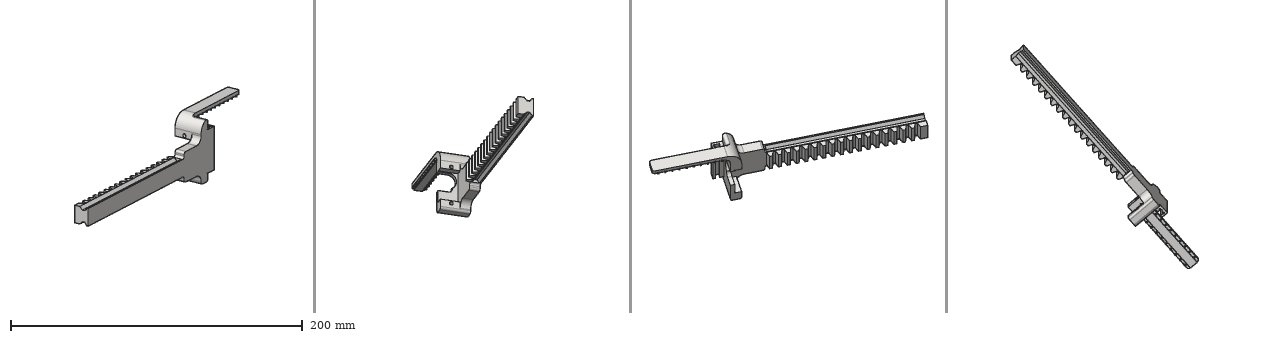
import cadquery as cq
import math

WIDTH = 22.0
LENGTH = 197.5
TOP_Z = 27.8
BOTTOM_Z = -19.2
CLEARANCE = 2.0
OVERLAP = 1.0

RACK_HALF_HEIGHT = 6.5
RACK_BODY_X = 14.2
TOOTH_TIP_X = 10.7
TOOTH_TIP_WIDTH = 2.0
TOOTH_COUNT = 17
FIRST_TOOTH_Y = 10.5
LAST_TOOTH_Y = 111.0
TOOTH_PITCH = (LAST_TOOTH_Y - FIRST_TOOTH_Y) / (TOOTH_COUNT - 1)
FLANK_ANGLE = 20.0
GROOVE_START_X = 14.8
GROOVE_END_X = 20.7
GROOVE_DEPTH = 2.2
GROOVE_FLOOR_START_X = 17.2
GROOVE_FLOOR_END_X = 19.0

NECK_HALF_HEIGHT = 11.3
NECK_END_Y = 112.5
NECK_SMALL_RADIUS = 1.8
NECK_ROOT_RADIUS = 5.3

PLATE_FRONT_Y = 134.5
PLATE_BACK_Y = 142.5
EDGE_RADIUS = 1.8
BEND_OUTER_RADIUS = 10.0
BEND_INNER_RADIUS = 5.0
FINGER_WIDTH = 10.0
FINGER_BOTTOM_Z = 24.9
PAD_BOTTOM_Z = 23.9
PAD_INSET = 2.0
GRIP_RIB_COUNT = 10
GRIP_RIB_WIDTH = 0.8
FIRST_GRIP_RIB_Y = 148.3
LAST_GRIP_RIB_Y = 193.5
GRIP_RIB_PITCH = (LAST_GRIP_RIB_Y - FIRST_GRIP_RIB_Y) / (GRIP_RIB_COUNT - 1)
SHOULDER_RIM_RADIUS = 2.0
SHOULDER_CUT_BOTTOM_Z = 19.7

POCKET_HALF_HEIGHT = 11.8
POCKET_FLOOR_Y = 139.5
WINDOW_TOP_Z = 11.3
WINDOW_BOTTOM_Z = -3.0
WINDOW_ARC_X = 7.5
WINDOW_UPPER_RADIUS = 5.7
WINDOW_LOWER_RADIUS = 2.8
PIN_HOLE_DIAMETER = 2.5
PIN_HOLE_X = 7.9
PIN_HOLE_Z = 13.8
PIN_HOLE_DEPTH = 4.0

RAIL_X = 17.2
RAIL_BACK_Y = 150.5
RAIL_TOP_Z = 19.0
RAIL_BOTTOM_Z = -13.2
SLOT_CENTER_Y = 147.1
SLOT_MOUTH_WIDTH = 3.0
SLOT_INNER_WIDTH = 4.1
SLOT_LIP_X = 18.8
SLOT_FLOOR_X = 20.1


def box(x0, x1, y0, y1, z0, z1):
    """Axis-aligned block between two opposite corners."""
    return cq.Workplane("XY").box(x1 - x0, y1 - y0, z1 - z0, centered=False).translate((x0, y0, z0))


def make_rack():
    """Toothed bar with a V-sided groove along its upper and lower faces."""
    rack = box(RACK_BODY_X, WIDTH, 0, NECK_END_Y + OVERLAP, -RACK_HALF_HEIGHT, RACK_HALF_HEIGHT)

    root_x = RACK_BODY_X + OVERLAP
    half_tip = TOOTH_TIP_WIDTH / 2
    half_root = half_tip + (root_x - TOOTH_TIP_X) * math.tan(math.radians(FLANK_ANGLE))

    def tooth(start_y, end_y, root_start_y, root_end_y):
        outline = [(TOOTH_TIP_X, start_y), (TOOTH_TIP_X, end_y), (root_x, root_end_y), (root_x, root_start_y)]
        return (
            cq.Workplane("XY").workplane(offset=-RACK_HALF_HEIGHT)
            .polyline(outline).close().extrude(2 * RACK_HALF_HEIGHT)
        )

    for index in range(TOOTH_COUNT):
        y = FIRST_TOOTH_Y + index * TOOTH_PITCH
        rack = rack.union(tooth(y - half_tip, y + half_tip, y - half_root, y + half_root))

    end_tooth_y = FIRST_TOOTH_Y - TOOTH_PITCH
    rack = rack.union(tooth(0, end_tooth_y + half_tip, 0, end_tooth_y + half_root))

    floor_z = RACK_HALF_HEIGHT - GROOVE_DEPTH
    groove = (
        cq.Workplane("XZ")
        .polyline([
            (GROOVE_START_X, RACK_HALF_HEIGHT),
            (GROOVE_FLOOR_START_X, floor_z),
            (GROOVE_FLOOR_END_X, floor_z),
            (GROOVE_END_X, RACK_HALF_HEIGHT),
        ])
        .close().extrude(-NECK_END_Y)
    )
    return rack.cut(groove).cut(groove.mirror("XY"))


def make_neck():
    """Taller block joining rack and plate, blended into both with rounds."""
    face_y = NECK_END_Y + NECK_SMALL_RADIUS
    upper_half = (
        cq.Workplane("YZ").workplane(offset=RACK_BODY_X)
        .moveTo(PLATE_BACK_Y, 0)
        .lineTo(PLATE_BACK_Y, NECK_HALF_HEIGHT + NECK_ROOT_RADIUS)
        .lineTo(PLATE_FRONT_Y, NECK_HALF_HEIGHT + NECK_ROOT_RADIUS)
        .radiusArc((PLATE_FRONT_Y - NECK_ROOT_RADIUS, NECK_HALF_HEIGHT), NECK_ROOT_RADIUS)
        .lineTo(face_y + NECK_SMALL_RADIUS, NECK_HALF_HEIGHT)
        .radiusArc((face_y, NECK_HALF_HEIGHT - NECK_SMALL_RADIUS), -NECK_SMALL_RADIUS)
        .lineTo(face_y, RACK_HALF_HEIGHT + NECK_SMALL_RADIUS)
        .radiusArc((NECK_END_Y, RACK_HALF_HEIGHT), NECK_SMALL_RADIUS)
        .lineTo(NECK_END_Y, 0)
        .close().extrude(WIDTH - RACK_BODY_X)
    )
    return upper_half.union(upper_half.mirror("XY"))


def make_bent_plate():
    """Cross plate that bends back into the finger, at full width."""
    return (
        cq.Workplane("YZ")
        .moveTo(PLATE_FRONT_Y + EDGE_RADIUS, BOTTOM_Z)
        .lineTo(PLATE_BACK_Y - EDGE_RADIUS, BOTTOM_Z)
        .radiusArc((PLATE_BACK_Y, BOTTOM_Z + EDGE_RADIUS), -EDGE_RADIUS)
        .lineTo(PLATE_BACK_Y, FINGER_BOTTOM_Z - BEND_INNER_RADIUS)
        .radiusArc((PLATE_BACK_Y + BEND_INNER_RADIUS, FINGER_BOTTOM_Z), BEND_INNER_RADIUS)
        .lineTo(LENGTH, FINGER_BOTTOM_Z)
        .lineTo(LENGTH, TOP_Z)
        .lineTo(PLATE_FRONT_Y + BEND_OUTER_RADIUS, TOP_Z)
        .radiusArc((PLATE_FRONT_Y, TOP_Z - BEND_OUTER_RADIUS), -BEND_OUTER_RADIUS)
        .lineTo(PLATE_FRONT_Y, BOTTOM_Z + EDGE_RADIUS)
        .radiusArc((PLATE_FRONT_Y + EDGE_RADIUS, BOTTOM_Z), -EDGE_RADIUS)
        .close().extrude(WIDTH)
    )


def make_shoulder_cutter():
    """Removes the bend beside the finger, leaving a plate edge with a rounded rim."""
    bend_y = PLATE_FRONT_Y + BEND_OUTER_RADIUS
    bend_z = TOP_Z - BEND_OUTER_RADIUS

    rim_y = PLATE_BACK_Y - SHOULDER_RIM_RADIUS
    center_distance = BEND_OUTER_RADIUS - SHOULDER_RIM_RADIUS
    lean = math.asin((bend_y - rim_y) / center_distance)
    rim_z = bend_z + center_distance * math.cos(lean)
    touch_y = bend_y - BEND_OUTER_RADIUS * math.sin(lean)
    touch_z = bend_z + BEND_OUTER_RADIUS * math.cos(lean)

    exit_y = PLATE_FRONT_Y - CLEARANCE
    exit_z = touch_z - (touch_y - exit_y) * math.tan(lean)
    ceiling_z = TOP_Z + 2 * CLEARANCE
    end_y = LENGTH + CLEARANCE
    return (
        cq.Workplane("YZ").workplane(offset=FINGER_WIDTH)
        .moveTo(PLATE_BACK_Y, SHOULDER_CUT_BOTTOM_Z)
        .lineTo(PLATE_BACK_Y, rim_z)
        .radiusArc((touch_y, touch_z), -SHOULDER_RIM_RADIUS)
        .lineTo(exit_y, exit_z)
        .lineTo(exit_y, ceiling_z)
        .lineTo(end_y, ceiling_z)
        .lineTo(end_y, SHOULDER_CUT_BOTTOM_Z)
        .close().extrude(WIDTH - FINGER_WIDTH + CLEARANCE)
        .edges(cq.selectors.BoxSelector(
            (FINGER_WIDTH - OVERLAP, exit_y + OVERLAP, SHOULDER_CUT_BOTTOM_Z + OVERLAP),
            (FINGER_WIDTH + OVERLAP, PLATE_BACK_Y + OVERLAP, TOP_Z),
        ))
        .fillet(EDGE_RADIUS)
    )


def make_grip():
    """Thin pad under the finger, inset from its sides, with cross ribs reaching those sides."""
    top_z = FINGER_BOTTOM_Z + OVERLAP
    grip = box(PAD_INSET, FINGER_WIDTH - PAD_INSET, PLATE_BACK_Y, LENGTH, PAD_BOTTOM_Z, top_z)
    for index in range(GRIP_RIB_COUNT):
        y = FIRST_GRIP_RIB_Y + index * GRIP_RIB_PITCH
        grip = grip.union(box(
            0, FINGER_WIDTH, y - GRIP_RIB_WIDTH / 2, y + GRIP_RIB_WIDTH / 2, PAD_BOTTOM_Z, top_z,
        ))
    return grip


def make_pocket():
    """Shallow recess in the front of the plate beside the neck."""
    return box(
        -CLEARANCE, RACK_BODY_X, PLATE_FRONT_Y - CLEARANCE, POCKET_FLOOR_Y,
        -POCKET_HALF_HEIGHT, POCKET_HALF_HEIGHT,
    )


def make_window():
    """Side-open window through the pocket floor, ending in two round scoops."""
    start_y = PLATE_FRONT_Y - CLEARANCE
    end_y = PLATE_BACK_Y + CLEARANCE

    def scoop(center_z, radius):
        return (
            cq.Workplane("XZ", origin=(WINDOW_ARC_X, start_y, center_z))
            .circle(radius).extrude(start_y - end_y)
        )

    opening = box(-CLEARANCE, WINDOW_ARC_X, start_y, end_y, WINDOW_BOTTOM_Z, WINDOW_TOP_Z)
    upper_scoop = scoop(WINDOW_TOP_Z - WINDOW_UPPER_RADIUS, WINDOW_UPPER_RADIUS)
    lower_scoop = scoop(WINDOW_BOTTOM_Z + WINDOW_LOWER_RADIUS, WINDOW_LOWER_RADIUS)
    return opening.union(upper_scoop).union(lower_scoop)


def make_pin_holes():
    """Two blind holes, one above and one below the pocket."""
    return (
        cq.Workplane("XZ", origin=(0, PLATE_FRONT_Y, 0))
        .pushPoints([(PIN_HOLE_X, -PIN_HOLE_Z), (PIN_HOLE_X, PIN_HOLE_Z)])
        .circle(PIN_HOLE_DIAMETER / 2).extrude(-PIN_HOLE_DEPTH)
    )


def make_rail():
    """Upright rail on the back of the plate with a T-slot open toward the finger."""
    rail = box(RAIL_X, WIDTH, PLATE_BACK_Y - OVERLAP, RAIL_BACK_Y, RAIL_BOTTOM_Z, RAIL_TOP_Z)
    for start_x, end_x, width in (
        (RAIL_X, SLOT_FLOOR_X, SLOT_MOUTH_WIDTH),
        (SLOT_LIP_X, SLOT_FLOOR_X, SLOT_INNER_WIDTH),
    ):
        half = width / 2
        rail = rail.cut(box(
            start_x, end_x, SLOT_CENTER_Y - half, SLOT_CENTER_Y + half, RAIL_BOTTOM_Z, RAIL_TOP_Z,
        ))
    return rail


arm = make_bent_plate().cut(make_shoulder_cutter())
arm = arm.edges("|Z and >Y").fillet(EDGE_RADIUS)
arm = arm.union(make_grip())
arm = arm.cut(make_pocket()).cut(make_window()).cut(make_pin_holes())

result = arm.union(make_neck()).union(make_rack()).union(make_rail())